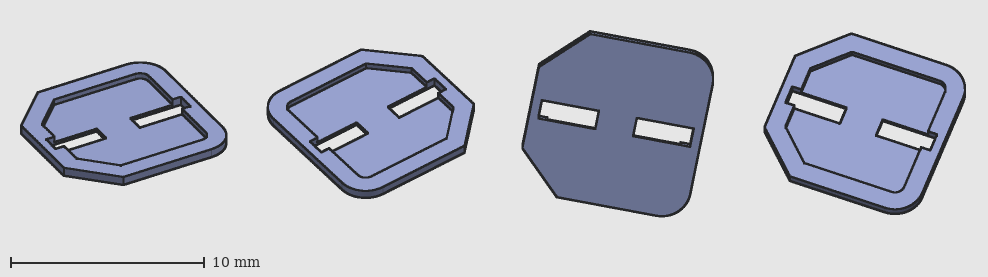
import cadquery as cq
import math

side = 9.0
thickness = 0.5
corner_radius = 1.5
bevel = 2.26

rim = 1.0
recess_depth = 0.33

slot_width = 1.0
slot_length = 3.0
slot_margin = 0.5


def shield(inset, height):
    """Square block with rounded +Y corners and beveled -Y corners, offset inward by inset."""
    half = side / 2 - inset
    radius = corner_radius - inset
    leg = bevel - inset * (2 - math.sqrt(2))
    diagonal = radius * math.sqrt(0.5)
    center = half - radius
    return (
        cq.Workplane("XY")
        .moveTo(leg - half, -half)
        .lineTo(half - leg, -half)
        .lineTo(half, leg - half)
        .lineTo(half, center)
        .threePointArc((center + diagonal, center + diagonal), (center, half))
        .lineTo(-center, half)
        .threePointArc((-center - diagonal, center + diagonal), (-half, center))
        .lineTo(-half, leg - half)
        .close()
        .extrude(height)
    )


floor_thickness = thickness - recess_depth
recess = shield(rim, recess_depth).translate((0, 0, floor_thickness))
plate = shield(0, thickness).cut(recess)

slot_offset = side / 2 - slot_margin - slot_length / 2
slots = (
    cq.Workplane("XY")
    .pushPoints([(0, slot_offset), (0, -slot_offset)])
    .rect(slot_width, slot_length)
    .extrude(thickness)
)

result = plate.cut(slots)